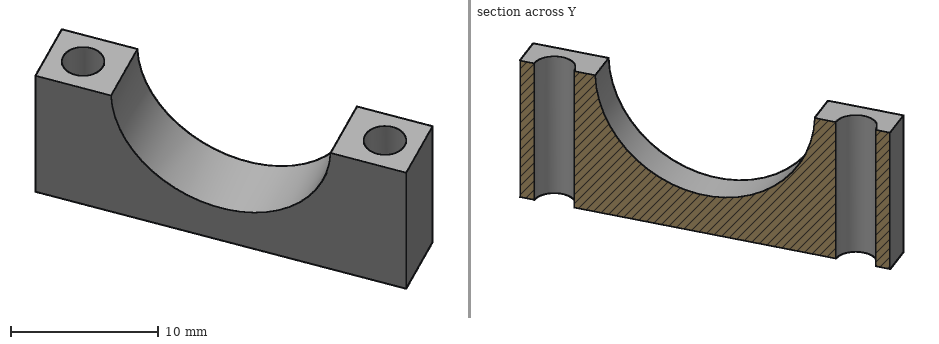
import cadquery as cq

length = 27.02
width = 5.0
height = 10.75

cradle_radius = 8.0
floor_thickness = 3.0
cradle_axis_height = floor_thickness + cradle_radius

bolt_hole_diameter = 2.9
bolt_spacing = 22.0


def make_block():
    """Block centred in X and Y, standing on Z = 0."""
    return cq.Workplane("XY").box(length, width, height, centered=(True, True, False))


def cut_cradle(body):
    """Remove the round seat across the full width."""
    cradle = (
        cq.Workplane("XZ")
        .center(0, cradle_axis_height)
        .circle(cradle_radius)
        .extrude(width / 2, both=True)
    )
    return body.cut(cradle)


def cut_bolt_holes(body):
    """Drill both end posts from top to bottom."""
    holes = (
        cq.Workplane("XY")
        .pushPoints([(-bolt_spacing / 2, 0), (bolt_spacing / 2, 0)])
        .circle(bolt_hole_diameter / 2)
        .extrude(height)
    )
    return body.cut(holes)


result = cut_bolt_holes(cut_cradle(make_block()))